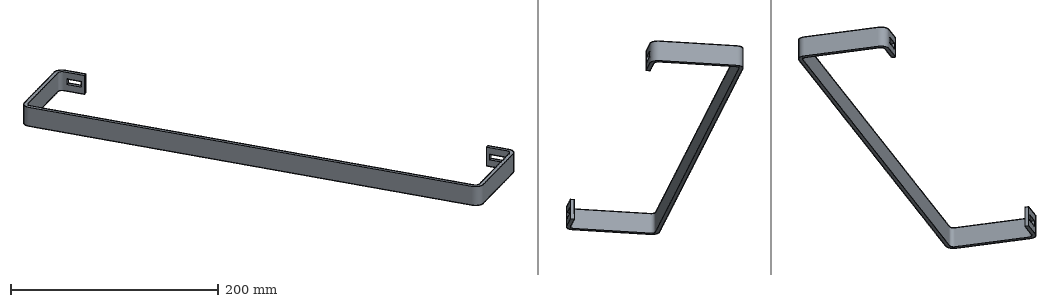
import cadquery as cq

length = 480.0
depth = 91.0
height = 20.0

thickness = 4.0
outer_radius = 8.0
inner_radius = outer_radius - thickness
tab_length = 30.0

slot_length = 15.0
slot_width = 6.0
slot_offset = length / 2 - (tab_length + outer_radius) / 2


def rounded_block(size_x, size_y, radius):
    """Block of the strip height, centred on the origin, with rounded upright edges."""
    return cq.Workplane("XY").box(size_x, size_y, height).edges("|Z").fillet(radius)


def bent_strip():
    """Closed strip loop, opened at the back between the two inward tabs."""
    outside = rounded_block(length, depth, outer_radius)
    inside = rounded_block(length - 2 * thickness, depth - 2 * thickness, inner_radius)
    back_opening = (
        cq.Workplane("XY")
        .box(length - 2 * tab_length, depth / 2, height)
        .translate((0, depth / 2, 0))
    )
    return outside.cut(inside).cut(back_opening)


def tab_slots():
    """Cutters for the rectangular slots through both tabs, clear of the front bar."""
    return (
        cq.Workplane("XZ")
        .pushPoints([(-slot_offset, 0), (slot_offset, 0)])
        .rect(slot_length, slot_width)
        .extrude(-depth)
    )


result = bent_strip().cut(tab_slots())